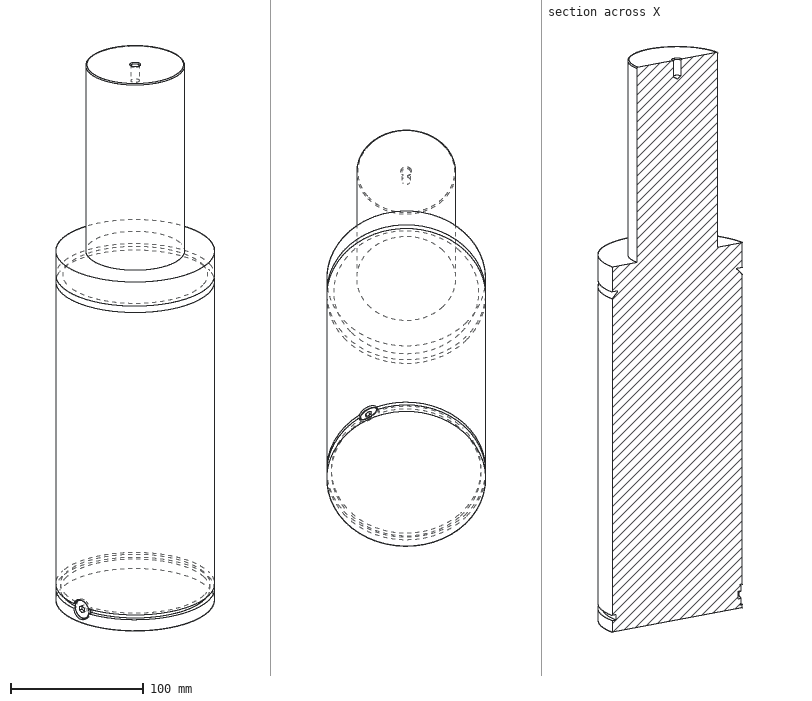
import cadquery as cq
import math

total_height = 440.0
body_diameter = 120.0
rod_diameter = 75.0
body_top = 287.0
rod_chamfer = 1.0

collar_height = 20.0
collar_groove_width = 5.5
collar_groove_depth = 5.5

base_groove_bottom = 9.2
base_groove_width = 4.0
base_groove_depth = 3.5

rod_hole_diameter = 6.5
rod_hole_mouth_diameter = 8.5
rod_hole_depth = 13.0
drill_tip_angle = 118

port_height = 10.5
port_diameter = 16.0
plug_face_diameter = 14.0
plug_setback = 1.5
plug_length = 13.0
socket_across_flats = 5.0
socket_depth = 2.5

body_radius = body_diameter / 2
rod_radius = rod_diameter / 2


def make_body():
    """Revolve the body, its two grooves and the rod as one half profile."""
    base_groove_radius = body_radius - base_groove_depth
    base_groove_top = base_groove_bottom + base_groove_width
    collar_groove_radius = body_radius - collar_groove_depth
    collar_bottom = body_top - collar_height
    return (
        cq.Workplane("XZ")
        .lineTo(body_radius, 0)
        .lineTo(body_radius, base_groove_bottom)
        .lineTo(base_groove_radius, base_groove_bottom)
        .lineTo(base_groove_radius, base_groove_top)
        .lineTo(body_radius, base_groove_top)
        .lineTo(body_radius, collar_bottom - collar_groove_width)
        .lineTo(collar_groove_radius, collar_bottom)
        .lineTo(body_radius, collar_bottom)
        .lineTo(body_radius, body_top)
        .lineTo(rod_radius, body_top)
        .lineTo(rod_radius, total_height - rod_chamfer)
        .lineTo(rod_radius - rod_chamfer, total_height)
        .lineTo(0, total_height)
        .close()
        .revolve(360, (0, 0, 0), (0, 1, 0))
    )


def make_drill(diameter, depth):
    """Plain bore along -Z from the origin, ending in a conical drill tip."""
    radius = diameter / 2
    tip_height = radius / math.tan(math.radians(drill_tip_angle / 2))
    return (
        cq.Workplane("XZ")
        .lineTo(radius, 0)
        .lineTo(radius, -depth)
        .lineTo(0, -depth - tip_height)
        .close()
        .revolve(360, (0, 0, 0), (0, 1, 0))
    )


def make_countersink(mouth_diameter, bore_diameter):
    """45 degree cone from the mouth at the origin down to the bore diameter."""
    cone_height = (mouth_diameter - bore_diameter) / 2
    cone = cq.Solid.makeCone(bore_diameter / 2, mouth_diameter / 2, cone_height)
    return cq.Workplane(cone).translate((0, 0, -cone_height))


def place_on_port(shape):
    """Turn a shape built along -Z so that it enters the -Y side at the port."""
    return shape.rotate((0, 0, 0), (1, 0, 0), 90).translate((0, -body_radius, port_height))


def add_port(body):
    """Bore closed by a chamfered plug that bridges the base groove and has a hexagonal socket."""
    plug = (
        cq.Workplane("XY")
        .workplane(offset=-plug_setback)
        .circle(port_diameter / 2)
        .extrude(-plug_length)
        .faces(">Z")
        .chamfer((port_diameter - plug_face_diameter) / 2)
    )
    socket = (
        cq.Workplane("XY")
        .polygon(6, socket_across_flats, circumscribed=True)
        .extrude(-plug_setback - socket_depth)
    )
    bore = cq.Workplane("XY").circle(port_diameter / 2).extrude(-plug_setback - plug_length / 2)
    body = body.cut(place_on_port(bore))
    return body.union(place_on_port(plug.cut(socket)))


def add_rod_hole(body):
    """Drilled and countersunk hole in the rod end."""
    for cutter in (
        make_drill(rod_hole_diameter, rod_hole_depth),
        make_countersink(rod_hole_mouth_diameter, rod_hole_diameter),
    ):
        body = body.cut(cutter.translate((0, 0, total_height)))
    return body


result = add_rod_hole(add_port(make_body()))